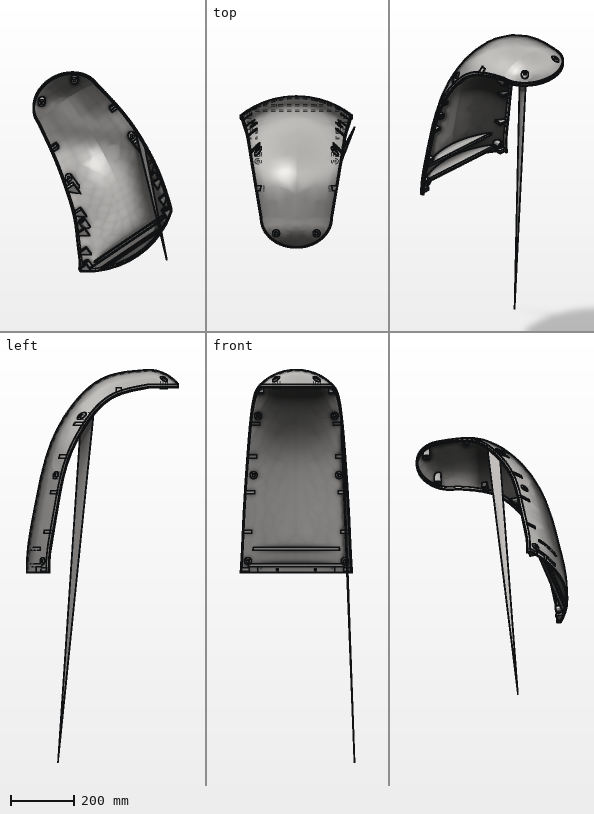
import cadquery as cq
import math


FOOT_HALF_WIDTH = 176.8
OVERALL_WIDTH = 360.99
OVERALL_DEPTH = 479.95
OVERALL_HEIGHT = 1240.49
CROWN_TOP = 641.5
FOOT_CROWN_Y = 383.9

WALL = 4.0
BAND = 8.0
LIP = 3.5
LIP_STEP = 1.2
FILL_DEPTH = 3.5
RIM = BAND + LIP

NOSE_HEIGHT = 46.7
NOSE_HALF_WIDTH = 113.5
NOSE_LENGTH = OVERALL_DEPTH - FOOT_CROWN_Y
STATIONS = [
    (0.0, CROWN_TOP, 90, NOSE_HEIGHT, NOSE_HALF_WIDTH),
    (95.3, 630.3, 70, 55.0, 126.0),
    (188.7, 583.6, 57, 60.5, 139.0),
    (244.7, 522.0, 48, 63.0, 146.5),
    (299.0, 428.6, 40, 63.6, 154.0),
    (345.6, 271.6, 20, 61.0, 163.7),
    (370.8, 140.0, 9, 62.0, 170.0),
    (FOOT_CROWN_Y, 0.0, 0, 61.6, FOOT_HALF_WIDTH),
]

GUSSETS = [
    (5.0, 10.0, 149.0),
    (125.0, 9.0, 140.0),
    (249.0, 9.0, 132.0),
    (362.0, 11.0, 125.0),
    (466.0, 9.0, 116.0),
]

RIM_BLOCK_X = 103.0
RIM_BLOCK_Y = (84.0, 100.0)
RIM_BLOCK_Z = (565.0, 584.0)

SHELF_THICKNESS = 9.0
UPPER_SHELF_Z = 71.0
UPPER_SHELF_FRONT_Y = 340.0
LOWER_SHELF_Z = 19.5
LOWER_SHELF_FRONT_Y = 336.0
FOOT_PLATE_FRONT_Y = 353.0
FOOT_PLATE_THICKNESS = 4.0
FOOT_PLATE_BACK_Y = FOOT_PLATE_FRONT_Y + FOOT_PLATE_THICKNESS
FOOT_PLATE_HOLE = 6.0
FOOT_PLATE_HOLE_X = 60.0

BOSS_DIAMETER = 22.0
BOSS_HOLE = 8.0
SIDE_BOSSES = [(121.0, 495.0), (135.0, 308.0), (153.0, 36.5)]
NOSE_BOSS_X = 64.0
NOSE_BOSS_Y = -50.0
NOSE_BOSS_FOOT = 3.0

BLADE_THICKNESS = 1.0
BLADE_FRONT_TOP = (140.8, 172.0, 500.0)
BLADE_REAR_TOP = (147.1, 215.0, 440.0)
BLADE_TIP = (OVERALL_WIDTH - FOOT_HALF_WIDTH, 284.5, CROWN_TOP - OVERALL_HEIGHT)

FAR = 1000.0


def section_point(station, x, drop):
    """Point of a cross-section plane, given X and the distance below its crown."""
    crown_y, crown_z, tilt, _, _ = station
    angle = math.radians(tilt)
    return cq.Vector(x, crown_y - drop * math.cos(angle), crown_z - drop * math.sin(angle))


def half_arch(station, half_width, crown_drop):
    """Half of a circular arch, from its crown to the +X rim."""
    height = station[3] - crown_drop
    radius = (half_width**2 + height**2) / (2 * height)
    rim_angle = math.asin(half_width / radius)
    points = []
    for angle in (0, rim_angle / 2, rim_angle):
        drop = crown_drop + radius * (1 - math.cos(angle))
        points.append(section_point(station, radius * math.sin(angle), drop))
    return cq.Edge.makeThreePointArc(*points)


def closed_outline(station, corners, edges):
    """Wire of the given edges and of straight lines through the corners (X, drop below the crown)."""
    points = [section_point(station, x, drop) for x, drop in corners]
    lines = [cq.Edge.makeLine(start, end) for start, end in zip(points, points[1:])]
    return cq.Wire.assembleEdges([edges[0], *lines, *edges[1:]])


def shell_outline(station):
    """Half cross-section of the thin arched wall with its stepped rim."""
    _, _, _, height, outer_x = station
    inner_x = outer_x - WALL
    lip_x = outer_x - LIP_STEP
    rim_corners = [
        (outer_x, height),
        (outer_x, height + BAND),
        (lip_x, height + BAND),
        (lip_x, height + RIM),
        (inner_x, height + RIM),
        (inner_x, height),
    ]
    crown_line = cq.Edge.makeLine(section_point(station, 0, WALL), section_point(station, 0, 0))
    edges = [half_arch(station, outer_x, 0), half_arch(station, inner_x, WALL), crown_line]
    return closed_outline(station, rim_corners, edges)


def filled_outline(station, depth_below_arch):
    """Half cross-section of the space under the arch, starting inside the wall."""
    _, _, _, height, half_width = station
    side_x = half_width - FILL_DEPTH
    bottom = height + depth_below_arch
    corners = [(side_x, height), (side_x, bottom), (0, bottom), (0, FILL_DEPTH)]
    return closed_outline(station, corners, [half_arch(station, side_x, FILL_DEPTH)])


def body(outlines):
    """Half body that runs smoothly through the outlines."""
    return cq.occ_impl.shapes.loft(outlines, cap=True, parametrization="chordal")


def nose(outline):
    """Quarter turn of an outline in the plane Y = 0 about Z, shortened to the nose length."""
    face = cq.Face.makeFromWires(outline)
    dome = cq.Solid.revolve(face, 90, cq.Vector(0, 0, 0), cq.Vector(0, 0, -1))
    squash = cq.Matrix([
        [1, 0, 0, 0],
        [0, NOSE_LENGTH / NOSE_HALF_WIDTH, 0, 0],
        [0, 0, 1, 0],
    ])
    return dome.transformGeometry(squash)


def block(x_range, y_range, z_range):
    lengths = [high - low for low, high in (x_range, y_range, z_range)]
    corner = (x_range[0], y_range[0], z_range[0])
    return cq.Solid.makeBox(*lengths, cq.Vector(*corner))


def shelf(front_y, back_y, bottom, thickness):
    return block((0, FAR), (front_y, back_y), (bottom, bottom + thickness))


def y_cylinder(x, z, diameter):
    return cq.Solid.makeCylinder(diameter / 2, FAR, cq.Vector(x, 0, z), cq.Vector(0, 1, 0))


def z_cylinder(x, y, bottom, diameter):
    return cq.Solid.makeCylinder(diameter / 2, FAR, cq.Vector(x, y, bottom))


def foot_plate():
    return shelf(FOOT_PLATE_FRONT_Y, FOOT_PLATE_BACK_Y, 0, LOWER_SHELF_Z)


def cross_shelves():
    """Two shelves across the hood near the foot, and an upright plate below the lower one."""
    upper = shelf(UPPER_SHELF_FRONT_Y, FAR, UPPER_SHELF_Z, SHELF_THICKNESS)
    lower = shelf(LOWER_SHELF_FRONT_Y, FAR, LOWER_SHELF_Z, SHELF_THICKNESS)
    return [upper, lower, foot_plate()]


def rim_fillers():
    """Corner gussets along the side rim and the block close to the nose."""
    fillers = [block((RIM_BLOCK_X, FAR), RIM_BLOCK_Y, RIM_BLOCK_Z)]
    for bottom, height, inner_x in GUSSETS:
        fillers.append(block((inner_x, FAR), (0, FAR), (bottom, bottom + height)))
    return fillers


def side_cylinders(diameter):
    """Cylinders along Y at every side boss."""
    return [y_cylinder(x, z, diameter) for x, z in SIDE_BOSSES]


def body_fittings():
    first, *others = cross_shelves() + rim_fillers() + side_cylinders(BOSS_DIAMETER)
    space = body([filled_outline(station, BAND) for station in STATIONS])
    return first.fuse(*others).intersect(space)


def nose_boss():
    """Upright boss that ends on a short foot just below the rim edge."""
    column = z_cylinder(NOSE_BOSS_X, NOSE_BOSS_Y, 0, BOSS_DIAMETER)
    return column.intersect(nose(filled_outline(STATIONS[0], RIM + NOSE_BOSS_FOOT)))


def screw_holes():
    nose_hole = z_cylinder(NOSE_BOSS_X, NOSE_BOSS_Y, 0, BOSS_HOLE)
    plate_hole = y_cylinder(FOOT_PLATE_HOLE_X, LOWER_SHELF_Z / 2, FOOT_PLATE_HOLE)
    return [*side_cylinders(BOSS_HOLE), nose_hole, plate_hole.intersect(foot_plate())]


def half_hood():
    shell = body([shell_outline(station) for station in STATIONS])
    solid = shell.fuse(nose(shell_outline(STATIONS[0])), body_fittings(), nose_boss())
    return solid.cut(*screw_holes())


def blade():
    front, rear, tip = (cq.Vector(*p) for p in (BLADE_FRONT_TOP, BLADE_REAR_TOP, BLADE_TIP))
    inward = (rear - front).cross(tip - front).normalized() * BLADE_THICKNESS
    outline = cq.Wire.makePolygon([front, rear, tip], close=True)
    return cq.Solid.extrudeLinear(outline, [], inward)


right_half = half_hood()
hood = right_half.fuse(right_half.mirror("YZ"), blade()).clean()

result = cq.Workplane(hood.Solids()[0])